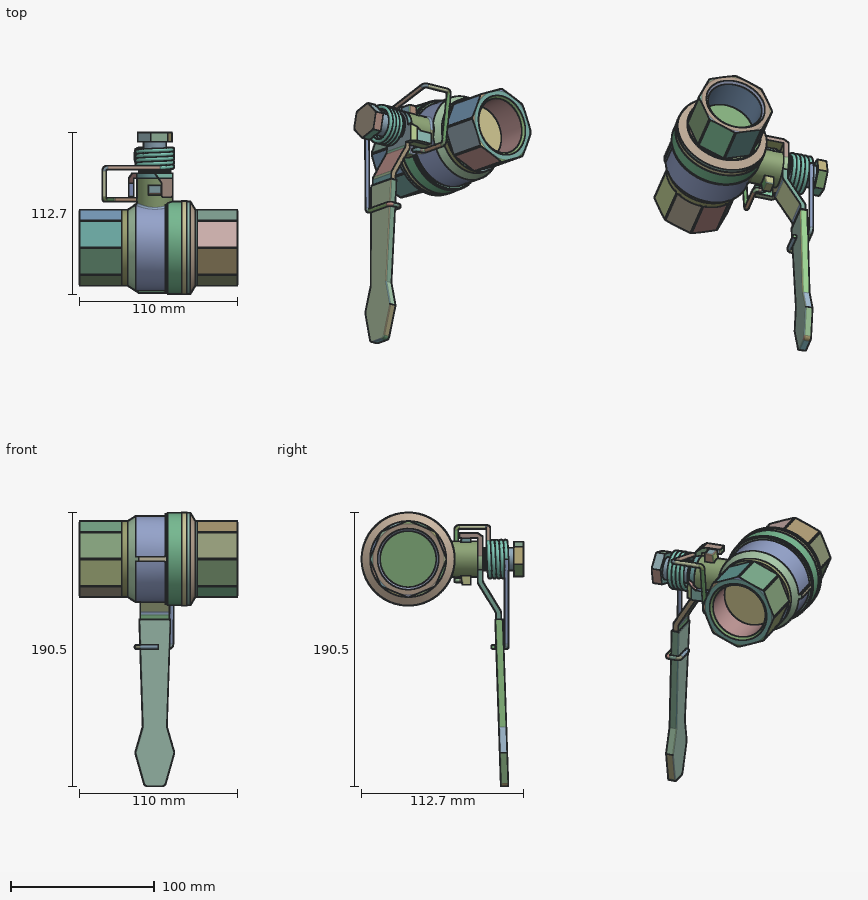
import cadquery as cq
import math


body_length = 110.0
left_end = -52.4
right_end = left_end + body_length
end_diameter = 53.0
octagon_corner_land = 1.0
end_face_diameter = 49.4
end_chamfer_depth = 0.3
bore_diameter = 38.95
bore_mouth_diameter = 42.5
bore_depth = 24.0
neck_start = -23.0
neck_end = -18.8
shell_diameter = 63.0
shell_start = -11.0
band_diameter = 64.5
band_start = 8.4
band_bevel = 0.7
ring_diameter = 65.0
ring_start = 18.9
ring_end = 22.3
band_end = 24.8
tail_start = 28.2
tail_end = 29.6
pad_diameter = 60.0
pad_start = -15.0
pad_end = 7.4
pad_corner_radius = 1.0
rib_width = 3.3

stem_diameter = 16.0
stem_top = 80.2
nut_diameter = 25.0
nut_height = 6.7
nut_rotation = 43.4
nut_edge_chamfer = 0.5
nut_underside = stem_top - nut_height
collar_diameter = 25.0
collar_base_radius = 1.5
blend_width = 1.7
washer_diameter = 22.0
washer_width = stem_diameter
washer_bottom = 52.9
washer_top = 54.0
stop_width = 9.0
stop_root = 36.6
stop_bottom = 37.6
stop_top = 43.6
stop_reach = 18.0
stop_edge_radius = 0.6

plate_bottom = 48.2
plate_top = 51.9
plate_thickness = plate_top - plate_bottom
plate_radius = 12.6
tab_reach = 18.2
tab_inner = 4.8
tab_outer = 12.4
tab_slope_end = 44.9
tab_end = 35.2
tab_corner_radius = 1.0
tab_bend_radius = 2.5
lever_half_width = 10.2
lever_bend_radius = 4.0
upper_bend_z = -15.5
lower_bend_z = -36.4
lower_bend_offset = 12.8
inner_bend_drop = 1.0
grip_top_z = -41.8
grip_bottom_z = -157.9
grip_top_back = 65.8
grip_thickness = 5.4
grip_tilt = 1.93
grip_top_half_width = 10.9
grip_waist_half_width = 8.5
grip_waist_z = -116.5
grip_widest_half_width = 13.7
grip_widest_z = -134.5
grip_end_half_width = 7.1
grip_end_radius = 3.0
grip_edge_radius = 0.5

wire_diameter = 3.0
wire_radius = wire_diameter / 2
coil_radius = 12.1
coil_top = 68.3
coil_bottom = 55.6
coil_full_turns = 4
wire_bend_radius = 2.2
hook_right = 11.5
hook_z = -61.1
hook_left = -12.6
hook_front = 59.1
hook_end = 2.5
loop_corner_x = -35.1
loop_corner_z = 22.3
loop_bottom = 33.4
loop_foot_x = -29.5
loop_foot_z = -14.8
loop_turn_x = -8.0
loop_end = 40.0


def x_cylinder(diameter, start, end):
    return cq.Workplane("YZ", origin=(start, 0, 0)).circle(diameter / 2).extrude(end - start)


def y_cylinder(diameter, start, end):
    return cq.Workplane("XZ", origin=(0, start, 0)).circle(diameter / 2).extrude(start - end)


def octagon_end(start, end):
    """Octagonal wrench section with its corners rounded to the end diameter."""
    end_radius = end_diameter / 2
    land_half_angle = math.asin(octagon_corner_land / end_diameter)
    apothem = end_radius * math.cos(math.pi / 8 - land_half_angle)
    corner_circle = 2 * apothem / math.cos(math.pi / 8)
    prism = (
        cq.Workplane("YZ", origin=(start, 0, 0))
        .polygon(8, corner_circle)
        .extrude(end - start)
    )
    return prism.intersect(x_cylinder(end_diameter, start, end))


def faced_envelope():
    """Full-length round bar whose two ends carry the shallow chamfer of the wrench sections."""
    bar = x_cylinder(end_diameter, left_end, right_end)
    return bar.faces("<X or >X").chamfer(end_chamfer_depth, (end_diameter - end_face_diameter) / 2)


def body_shell():
    """Turned middle of the body, with two cones, a band and a raised ring."""
    neck_radius = end_diameter / 2
    band_radius = band_diameter / 2
    ring_radius = ring_diameter / 2
    return (
        cq.Workplane("XY")
        .moveTo(neck_start, 0)
        .lineTo(neck_start, neck_radius)
        .lineTo(neck_end, neck_radius)
        .lineTo(shell_start, shell_diameter / 2)
        .lineTo(band_start, shell_diameter / 2)
        .lineTo(band_start + band_bevel, band_radius)
        .lineTo(ring_start, band_radius)
        .lineTo(ring_start, ring_radius)
        .lineTo(ring_end, ring_radius)
        .lineTo(ring_end, band_radius)
        .lineTo(band_end, band_radius)
        .lineTo(tail_start, neck_radius)
        .lineTo(tail_end, neck_radius)
        .lineTo(tail_end, 0)
        .close()
        .revolve(360, (0, 0, 0), (1, 0, 0))
    )


def pad_recess():
    """Shallow recess around the shell, interrupted by a rib on the -Y and +Y sides."""
    sleeve = x_cylinder(ring_diameter, pad_start, pad_end)
    sleeve = sleeve.cut(x_cylinder(pad_diameter, pad_start, pad_end))
    pad_length = pad_end - pad_start
    pad_height = ring_diameter
    window = None
    for side in (1, -1):
        center_z = side * (rib_width + pad_height) / 2
        block = (
            cq.Workplane("XY")
            .box(pad_length, 2 * ring_diameter, pad_height)
            .edges("|Y")
            .fillet(pad_corner_radius)
            .translate((pad_start + pad_length / 2, 0, center_z))
        )
        window = block if window is None else window.union(block)
    return sleeve.intersect(window)


def end_bore(end, direction):
    """Blind bore with a chamfered mouth, closed at its inner end by the ball."""
    mouth_chamfer = (bore_mouth_diameter - bore_diameter) / 2
    return (
        cq.Workplane("XY")
        .moveTo(end, 0)
        .lineTo(end, bore_mouth_diameter / 2)
        .lineTo(end + direction * mouth_chamfer, bore_diameter / 2)
        .lineTo(end + direction * bore_depth, bore_diameter / 2)
        .lineTo(end + direction * bore_depth, 0)
        .close()
        .revolve(360, (0, 0, 0), (1, 0, 0))
    )


def collar():
    """Collar around the stem, blended into a core of the pad diameter by a fillet."""
    core = x_cylinder(pad_diameter, -pad_diameter / 2, pad_diameter / 2)
    joined = core.union(y_cylinder(collar_diameter, 0, plate_bottom))
    joint_zone = cq.selectors.BoxSelector(
        (-collar_diameter, collar_base_radius, -collar_diameter),
        (collar_diameter, plate_bottom - collar_base_radius, collar_diameter),
    )
    joined = joined.edges(joint_zone).fillet(collar_base_radius)
    blend_diameter = collar_diameter + 2 * blend_width
    return joined.intersect(y_cylinder(blend_diameter, 0, plate_bottom))


def pipe_body():
    wrench_ends = octagon_end(left_end, neck_start).union(octagon_end(tail_end, right_end))
    body = body_shell().cut(pad_recess())
    body = body.union(wrench_ends.intersect(faced_envelope()))
    body = body.union(collar())
    body = body.cut(end_bore(left_end, 1))
    return body.cut(end_bore(right_end, -1))


def stop_blocks():
    """Bar across the collar whose two ends limit the swing of the lever."""
    collar_radius = collar_diameter / 2
    return (
        cq.Workplane("YZ", origin=(-stop_width / 2, 0, 0))
        .moveTo(stop_top, stop_reach)
        .lineTo(stop_bottom, stop_reach)
        .lineTo(stop_root, collar_radius)
        .lineTo(stop_root, -collar_radius)
        .lineTo(stop_bottom, -stop_reach)
        .lineTo(stop_top, -stop_reach)
        .close()
        .extrude(stop_width)
        .edges()
        .fillet(stop_edge_radius)
    )


def stem_and_nut():
    stem = y_cylinder(stem_diameter, plate_bottom, stem_top)
    nut = (
        cq.Workplane("XZ", origin=(0, nut_underside, 0))
        .transformed(rotate=(0, 0, nut_rotation))
        .polygon(6, nut_diameter)
        .extrude(-nut_height)
    )
    nut_envelope = y_cylinder(nut_diameter, nut_underside, stem_top).faces(">Y").chamfer(nut_edge_chamfer)
    washer = y_cylinder(washer_diameter, washer_bottom, washer_top)
    washer = washer.intersect(cq.Workplane("XY").box(washer_diameter, 2 * stem_top, washer_width))
    return stem.union(nut.intersect(nut_envelope)).union(washer)


def stop_tab():
    """Arm of the lever plate that reaches out along +Z and folds down beside the collar."""
    profile = (
        cq.Workplane("YZ")
        .moveTo(plate_top, 0)
        .lineTo(plate_top, tab_reach - tab_bend_radius)
        .lineTo(plate_bottom, tab_reach)
        .lineTo(tab_end, tab_reach)
        .lineTo(tab_end, tab_reach - plate_thickness)
        .lineTo(plate_bottom, tab_reach - plate_thickness)
        .lineTo(plate_bottom, 0)
        .close()
        .extrude(tab_outer)
    )
    outline = (
        cq.Workplane("XY")
        .moveTo(0, plate_top)
        .lineTo(tab_inner, tab_slope_end)
        .lineTo(tab_inner, tab_end)
        .lineTo(tab_outer, tab_end)
        .lineTo(tab_outer, plate_top)
        .close()
        .extrude(tab_reach)
        .edges("|Z and <Y")
        .fillet(tab_corner_radius)
    )
    return profile.intersect(outline)


def lever_blade():
    """Strip that bends away from the plate and runs straight down into the grip."""
    bend_back = plate_top + lower_bend_offset
    bend_front = plate_bottom + lower_bend_offset
    embedded_z = grip_top_z - grip_thickness
    bend_edges = cq.selectors.BoxSelector(
        (-lever_half_width, 0, lower_bend_z - 2 * inner_bend_drop),
        (lever_half_width, stem_top, upper_bend_z + inner_bend_drop),
    )
    return (
        cq.Workplane("YZ", origin=(-lever_half_width, 0, 0))
        .moveTo(plate_top, 0)
        .lineTo(plate_top, upper_bend_z)
        .lineTo(bend_back, lower_bend_z)
        .lineTo(bend_back, embedded_z)
        .lineTo(bend_front, embedded_z)
        .lineTo(bend_front, lower_bend_z - inner_bend_drop)
        .lineTo(plate_bottom, upper_bend_z - inner_bend_drop)
        .lineTo(plate_bottom, 0)
        .close()
        .extrude(2 * lever_half_width)
        .edges("|X")
        .edges(bend_edges)
        .fillet(lever_bend_radius)
    )


def lever_grip():
    """Paddle-shaped grip, tilted about its top edge."""
    right_side = [
        (grip_top_half_width, grip_top_z),
        (grip_waist_half_width, grip_waist_z),
        (grip_widest_half_width, grip_widest_z),
        (grip_end_half_width, grip_bottom_z),
    ]
    left_side = [(-x, z) for x, z in reversed(right_side)]
    grip = (
        cq.Workplane("XZ", origin=(0, grip_top_back, 0))
        .polyline(right_side + left_side)
        .close()
        .extrude(grip_thickness)
        .edges("|Y and <Z")
        .fillet(grip_end_radius)
        .faces("<Y or >Y")
        .edges()
        .fillet(grip_edge_radius)
    )
    pivot = (0, grip_top_back, grip_top_z)
    pivot_end = (1, grip_top_back, grip_top_z)
    return grip.rotate(pivot, pivot_end, grip_tilt)


def lever():
    plate = y_cylinder(2 * plate_radius, plate_bottom, plate_top)
    upper_tab = stop_tab()
    side_tab = upper_tab.mirror("YZ").rotate((0, 0, 0), (0, 1, 0), -90)
    return plate.union(upper_tab).union(side_tab).union(lever_blade()).union(lever_grip())


def bent_wire(points):
    """Round wire through the given corners, with each inner corner rounded."""
    corners = [cq.Vector(*point) for point in points]
    edges = []
    start = corners[0]
    for before, corner, after in zip(corners, corners[1:], corners[2:]):
        incoming = (corner - before).normalized()
        outgoing = (after - corner).normalized()
        setback = wire_bend_radius * math.tan(incoming.getAngle(outgoing) / 2)
        bend_start = corner - incoming * setback
        bend_end = corner + outgoing * setback
        edges.append(cq.Edge.makeLine(start, bend_start))
        edges.append(cq.Edge.makeTangentArc(bend_start, incoming, bend_end))
        start = bend_end
    edges.append(cq.Edge.makeLine(start, corners[-1]))
    path = cq.Wire.assembleEdges(edges)
    section = cq.Plane(origin=corners[0], normal=corners[1] - corners[0])
    return cq.Workplane(section).circle(wire_radius).sweep(cq.Workplane(path))


def return_spring():
    """Coil around the stem, with one leg hooked on the grip and one caught on the stop bar."""
    loop_distance = math.hypot(loop_corner_x, loop_corner_z)
    loop_angle = math.atan2(loop_corner_z, loop_corner_x)
    leave_angle = loop_angle - math.acos(coil_radius / loop_distance)
    turns = coil_full_turns + leave_angle / (2 * math.pi)
    height = coil_top - coil_bottom
    helix = cq.Wire.makeHelix(height / turns, height, coil_radius)
    coil = (
        cq.Workplane("XZ")
        .center(coil_radius, 0)
        .circle(wire_radius)
        .sweep(cq.Workplane(helix), isFrenet=True)
    )
    coil = coil.rotate((0, 0, 0), (1, 0, 0), 90).translate((0, coil_top, 0))
    hook_leg = bent_wire([
        (coil_radius, coil_top, 0),
        (hook_right, coil_top, hook_z),
        (hook_left, coil_top, hook_z),
        (hook_left, hook_front, hook_z),
        (hook_end, hook_front, hook_z),
    ])
    leave_x = coil_radius * math.cos(leave_angle)
    leave_z = coil_radius * math.sin(leave_angle)
    stop_leg = bent_wire([
        (leave_x, coil_bottom, leave_z),
        (loop_corner_x, coil_bottom, loop_corner_z),
        (loop_corner_x, loop_bottom, loop_corner_z),
        (loop_foot_x, loop_bottom, loop_foot_z),
        (loop_turn_x, loop_bottom, loop_foot_z),
        (loop_turn_x, loop_end, loop_foot_z),
        (0, loop_end, loop_foot_z),
    ])
    return coil.union(hook_leg).union(stop_leg)


result = (
    pipe_body()
    .union(stop_blocks())
    .union(stem_and_nut())
    .union(lever())
    .union(return_spring())
)